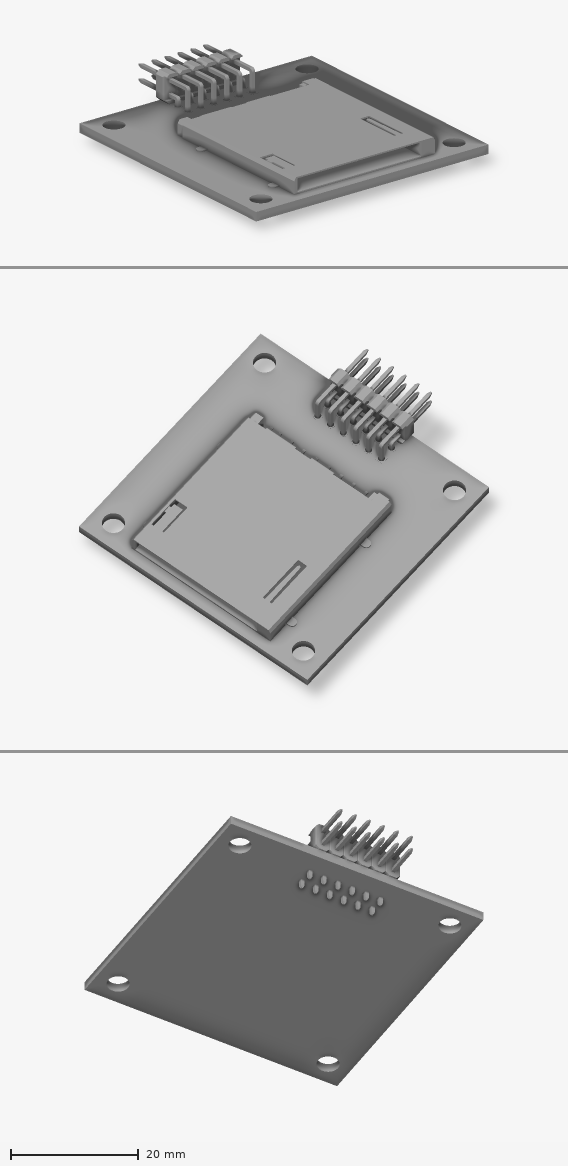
import cadquery as cq
import math


BOARD_SIZE = 45.7
BOARD_THICK = 1.6
MOUNT_HOLE_DIA = 3.65
MOUNT_HOLE_PITCH = 38.0
PIN_HOLE_DIA = 1.1
PAD_SIZE = 1.5
PAD_THICK = 0.035

PIN_COUNT = 6
PITCH = 2.55
HEADER_X = -23.1
HEADER_DEPTH = 2.65
HEADER_CHAMFER = 0.6
HEADER_HEIGHT = 2 * PITCH
SIDE_DEPTH = 1.65
RECESS_DEPTH = 0.6
BACK_INSET = 0.2
FRONT_INSET = 0.15
FRONT_BEVEL_DEPTH = 0.05
LIP_THICK = 0.6
PIN_WIDTH = 0.6
PIN_TIP_X = -29.1
PIN_TIP_Z = -1.4
PIN_TIP_WIDTH = 0.25
FREE_TAPER_LENGTH = 0.75
LEG_TAPER_LENGTH = 0.4
PIN_BEND_RADIUS = 0.6
INNER_LEG_X = -19.05

SOCKET_RIGHT_X = 20.9
SOCKET_REAR_X = -8.05
CORNER_REAR_X = -9.6
SOCKET_WIDTH = 27.75
SOCKET_HEIGHT = 2.9
SHEET = 0.25
LEFT_CORNER_Y = 10.4
RIGHT_CORNER_Y = -11.75
CARD_SPACE_Y = (-13.2, 11.15)
BASE_FLOOR = 0.3
REAR_WALL = 1.55

CONTACT_TIP_X = -10.25
CONTACT_WIDTH = 0.5
CONTACT_THICK = 0.2
FIRST_CONTACT_Y = 8.5
CONTACT_PITCH = 2.5
EVEN_CONTACTS = 7
LAST_CONTACT_GAPS = (2.4, 1.7)

EDGE_BEVEL_Y = 0.35
EDGE_BEVEL_Z = 0.6
FLAP_REACH = 0.4
FLAP_DROP = 1.6
REAR_FLAPS_Y = ((-1.1, 3.45), (-10.1, -4.2))
LOCK_FLAP_Y = (11.15, 13.2)
LOCK_FLAP_DROP = 2.75
LOCK_FLAP_RADIUS = 0.45
LOCK_WINDOW_WIDTH = 1.25
LOCK_WINDOW_HEIGHT = 1.65
LOCK_WINDOW_Z = 1.55
FOOT_CENTRES_X = (-2.6, 16.05)
FOOT_DIA = 1.5
FOOT_REACH = 1.3
FOOT_NOTCH_WIDTH = 1.95
FOOT_NOTCH_HEIGHT = 0.4

LOCK_SLOT_X = (7.8, 16.65)
LOCK_SLOT_CENTRE_Y = 9.9
LOCK_SLOT_WIDTH = 1.75
LOCK_TONGUE_ROOT_WIDTH = 1.0
LOCK_TONGUE_END_WIDTH = 0.6
LOCK_NOSE_X = 8.4
LOCK_SHOULDER_X = 8.7
DETECT_SLOT_X = (10.95, 16.9)
DETECT_SLOT_Y = (-13.1, -10.6)
DETECT_TONGUE_END_X = 11.75
DETECT_TONGUE_Y = (-12.6, -10.9)
DETECT_NUB_X = (12.5, 13.75)
DETECT_NUB_Y = -13.0

HALF_WIDTH = SOCKET_WIDTH / 2
COVER_TOP_Z = BOARD_THICK + SOCKET_HEIGHT
BASE_TOP_Z = COVER_TOP_Z - SHEET
ROW_Y = [(i - (PIN_COUNT - 1) / 2) * PITCH for i in range(PIN_COUNT)]
LEG_X = [INNER_LEG_X, INNER_LEG_X + PITCH]
PIN_Z = [BOARD_THICK + PITCH / 2, BOARD_THICK + 3 * PITCH / 2]


def block(x0, x1, y0, y1, z0, z1):
    """Box between opposite corner coordinates."""
    return cq.Workplane("XY").box(x1 - x0, y1 - y0, z1 - z0, centered=False).translate((x0, y0, z0))


def bevelled_block(x0, x1, half_width, top_z):
    """Bar along X standing on the board, with both long top edges bevelled."""
    shoulder_z = top_z - EDGE_BEVEL_Z
    crest_y = half_width - EDGE_BEVEL_Y
    profile = cq.Workplane("YZ").workplane(offset=x0).polyline([
        (-half_width, BOARD_THICK), (half_width, BOARD_THICK), (half_width, shoulder_z),
        (crest_y, top_z), (-crest_y, top_z), (-half_width, shoulder_z),
    ])
    return profile.close().extrude(x1 - x0)


def make_board():
    board = cq.Workplane("XY").box(BOARD_SIZE, BOARD_SIZE, BOARD_THICK, centered=(True, True, False))
    board = (
        board.faces(">Z").workplane().rect(MOUNT_HOLE_PITCH, MOUNT_HOLE_PITCH, forConstruction=True)
        .vertices().hole(MOUNT_HOLE_DIA)
    )
    pin_places = [(x, y) for x in LEG_X for y in ROW_Y]
    square_place = (LEG_X[1], ROW_Y[-1])
    round_places = [place for place in pin_places if place != square_place]
    pads = cq.Workplane("XY").workplane(offset=BOARD_THICK)
    board = board.union(pads.pushPoints(round_places).circle(PAD_SIZE / 2).extrude(PAD_THICK))
    board = board.union(pads.center(*square_place).rect(PAD_SIZE, PAD_SIZE).extrude(PAD_THICK))
    drills = cq.Workplane("XY").pushPoints(pin_places).circle(PIN_HOLE_DIA / 2)
    return board.cut(drills.extrude(BOARD_THICK + PAD_THICK))


def make_header_cell(y):
    """Plastic of one pin column: an octagon along X, hollowed and narrowed at the back."""
    back_x = HEADER_X + HEADER_DEPTH
    floor_x = back_x - RECESS_DEPTH
    half = PITCH / 2
    back_half = half - BACK_INSET
    cell = block(HEADER_X, back_x, -half, half, 0, HEADER_HEIGHT).edges("|X").chamfer(HEADER_CHAMFER)
    half_plan = [
        (HEADER_X, half - FRONT_INSET), (HEADER_X + FRONT_BEVEL_DEPTH, half),
        (HEADER_X + SIDE_DEPTH, half), (floor_x, back_half), (back_x, back_half),
    ]
    mirrored = [(x, -y) for x, y in reversed(half_plan)]
    plan = cq.Workplane("XY").polyline(half_plan + mirrored).close().extrude(HEADER_HEIGHT)
    recess = block(floor_x, back_x, -half, half, LIP_THICK, HEADER_HEIGHT - LIP_THICK)
    return cell.intersect(plan).cut(recess).translate((0, y, BOARD_THICK))


def make_pin(leg_x, z, y):
    """Square right-angle pin with tapered tips, running along X and then down."""
    half = PIN_WIDTH / 2
    free_x = PIN_TIP_X + FREE_TAPER_LENGTH
    leg_z = PIN_TIP_Z + LEG_TAPER_LENGTH
    outer_x = leg_x + half
    top_z = z + half
    bend_offset = PIN_BEND_RADIUS * (1 - math.sqrt(0.5))
    pin = (
        cq.Workplane("XZ").workplane(offset=-half)
        .moveTo(free_x, top_z).lineTo(outer_x - PIN_BEND_RADIUS, top_z)
        .threePointArc((outer_x - bend_offset, top_z - bend_offset), (outer_x, top_z - PIN_BEND_RADIUS))
        .lineTo(outer_x, leg_z).lineTo(leg_x - half, leg_z).lineTo(leg_x - half, z - half)
        .lineTo(free_x, z - half).close().extrude(PIN_WIDTH)
    )
    for face, taper_length in (("<X", FREE_TAPER_LENGTH), ("<Z", LEG_TAPER_LENGTH)):
        tip = (
            pin.faces(face).workplane(centerOption="CenterOfMass").rect(PIN_WIDTH, PIN_WIDTH)
            .workplane(offset=taper_length).rect(PIN_TIP_WIDTH, PIN_TIP_WIDTH).loft(combine=False)
        )
        pin = pin.union(tip)
    return pin.translate((0, y, 0))


def make_header():
    header = make_header_cell(ROW_Y[0])
    for y in ROW_Y[1:]:
        header = header.union(make_header_cell(y))
    for y in ROW_Y:
        for leg_x, z in zip(LEG_X, PIN_Z):
            header = header.union(make_pin(leg_x, z, y))
    return header


def make_contacts():
    places = [FIRST_CONTACT_Y - i * CONTACT_PITCH for i in range(EVEN_CONTACTS)]
    for gap in LAST_CONTACT_GAPS:
        places.append(places[-1] - gap)
    half = CONTACT_WIDTH / 2
    top_z = BOARD_THICK + CONTACT_THICK
    return [block(CONTACT_TIP_X, SOCKET_REAR_X, y - half, y + half, BOARD_THICK, top_z) for y in places]


def make_socket_base():
    """Plastic tray open toward +X, with two rear corner blocks and the contacts."""
    half = HALF_WIDTH - SHEET
    base = bevelled_block(CORNER_REAR_X, SOCKET_RIGHT_X, half, BASE_TOP_Z)
    base = base.cut(block(
        CORNER_REAR_X, SOCKET_REAR_X, RIGHT_CORNER_Y, LEFT_CORNER_Y, BOARD_THICK, BASE_TOP_Z,
    ))
    base = base.cut(block(
        SOCKET_REAR_X + REAR_WALL, SOCKET_RIGHT_X, *CARD_SPACE_Y, BOARD_THICK + BASE_FLOOR, BASE_TOP_Z,
    ))
    for contact in make_contacts():
        base = base.union(contact)
    return base


def make_flap(edge_x, y0, y1, drop):
    """Strip that reaches past the cover's rear edge and folds down."""
    outer_x = edge_x - FLAP_REACH
    flap = block(outer_x, edge_x, y0, y1, COVER_TOP_Z - drop, COVER_TOP_Z)
    flap = flap.edges("|Y and <X and >Z").fillet(SHEET)
    return flap.cut(block(outer_x + SHEET, edge_x, y0, y1, COVER_TOP_Z - drop, BASE_TOP_Z))


def make_lock_flap():
    y0, y1 = LOCK_FLAP_Y
    middle_y = (y0 + y1) / 2
    flap = make_flap(CORNER_REAR_X, y0, y1, LOCK_FLAP_DROP)
    flap = flap.edges("|X and <Z").fillet(LOCK_FLAP_RADIUS)
    z0 = BOARD_THICK + LOCK_WINDOW_Z - LOCK_WINDOW_HEIGHT / 2
    window = block(
        CORNER_REAR_X - FLAP_REACH, CORNER_REAR_X,
        middle_y - LOCK_WINDOW_WIDTH / 2, middle_y + LOCK_WINDOW_WIDTH / 2, z0, z0 + LOCK_WINDOW_HEIGHT,
    )
    return flap.cut(window)


def make_foot(x, side):
    """Round-ended solder foot on the wall at side = +1 (+Y) or -1 (-Y)."""
    half = FOOT_DIA / 2
    straight_end = FOOT_REACH - half
    foot = (
        cq.Workplane("XY")
        .moveTo(-half, -SHEET).lineTo(-half, straight_end)
        .threePointArc((0, FOOT_REACH), (half, straight_end))
        .lineTo(half, -SHEET).close().extrude(SHEET)
    )
    stem = block(-half, half, -SHEET, 0, 0, FOOT_NOTCH_HEIGHT)
    foot = foot.union(stem)
    if side < 0:
        foot = foot.mirror("XZ")
    return foot.translate((x, side * HALF_WIDTH, BOARD_THICK))


def slot_prism(points):
    """Vertical cutter through the cover's top sheet."""
    return cq.Workplane("XY").workplane(offset=BASE_TOP_Z).polyline(points).close().extrude(SHEET)


def make_lock_slot():
    """U-shaped slot around a tapering spring tongue with a pointed nose."""
    end_x, root_x = LOCK_SLOT_X
    half_slot = LOCK_SLOT_WIDTH / 2
    half_root = LOCK_TONGUE_ROOT_WIDTH / 2
    half_end = LOCK_TONGUE_END_WIDTH / 2
    slot = slot_prism([
        (root_x, half_slot), (end_x, half_slot), (end_x, -half_slot), (root_x, -half_slot),
        (root_x, -half_root), (LOCK_SHOULDER_X, -half_end), (LOCK_NOSE_X, 0),
        (LOCK_SHOULDER_X, half_end), (root_x, half_root),
    ])
    return slot.translate((0, LOCK_SLOT_CENTRE_Y, 0))


def make_detect_slot():
    """U-shaped slot around a spring tongue with a nub on its -Y edge."""
    slot_x0, slot_x1 = DETECT_SLOT_X
    tongue_y0, tongue_y1 = DETECT_TONGUE_Y
    nub_x0, nub_x1 = DETECT_NUB_X
    slot = block(slot_x0, slot_x1, *DETECT_SLOT_Y, BASE_TOP_Z, COVER_TOP_Z)
    tongue = block(DETECT_TONGUE_END_X, slot_x1, tongue_y0, tongue_y1, BASE_TOP_Z, COVER_TOP_Z)
    nub = block(nub_x0, nub_x1, DETECT_NUB_Y, tongue_y0, BASE_TOP_Z, COVER_TOP_Z)
    return slot.cut(tongue).cut(nub)


def make_cover_shell():
    """Bent sheet: flat top and two side walls, longer over the +Y corner block."""
    ends = (CORNER_REAR_X, SOCKET_RIGHT_X)
    shell = bevelled_block(*ends, HALF_WIDTH, COVER_TOP_Z)
    hollow = bevelled_block(*ends, HALF_WIDTH - SHEET, BASE_TOP_Z)
    open_rear = block(CORNER_REAR_X, SOCKET_REAR_X, -HALF_WIDTH, LOCK_FLAP_Y[0], BOARD_THICK, COVER_TOP_Z)
    return shell.cut(hollow).cut(open_rear)


def make_foot_notch(x, side):
    """Opening in the side wall around a solder foot."""
    half = FOOT_NOTCH_WIDTH / 2
    y0, y1 = sorted((side * HALF_WIDTH, side * (HALF_WIDTH - SHEET)))
    return block(x - half, x + half, y0, y1, BOARD_THICK, BOARD_THICK + FOOT_NOTCH_HEIGHT)


def make_cover():
    cover = make_cover_shell()
    for x in FOOT_CENTRES_X:
        for side in (1, -1):
            cover = cover.cut(make_foot_notch(x, side)).union(make_foot(x, side))
    for y0, y1 in REAR_FLAPS_Y:
        cover = cover.union(make_flap(SOCKET_REAR_X, y0, y1, FLAP_DROP))
    cover = cover.union(make_lock_flap())
    return cover.cut(make_lock_slot()).cut(make_detect_slot())


board = make_board()
header = make_header()
socket_base = make_socket_base()
cover = make_cover()
result = cq.Compound.makeCompound([board.val(), header.val(), socket_base.val(), cover.val()])